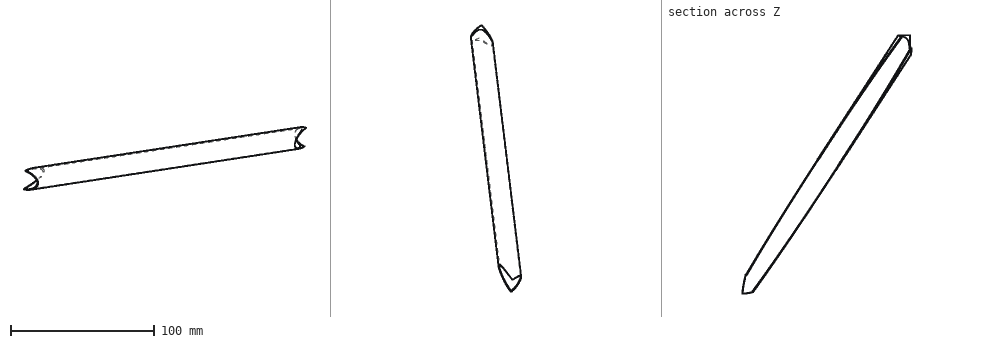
import cadquery as cq
import math

span_x = 117.6
span_y = 180.4
frame_tilt = 5.3

tube_diameter = 15.0
wall = 0.7
tube_radius = tube_diameter / 2

side_tube_angle = 84.5
node_tube_radius = 16.2
overrun = 27.0
mate_length = 144.3

tube_angle = math.degrees(math.atan2(span_y, span_x))
tube_length = math.hypot(span_x, span_y)


def rod(center, heading, length, radius):
    """Cylinder centred on a point of the frame plane, its axis lying in that plane."""
    bar = cq.Workplane("YZ").circle(radius).extrude(length).translate((-length / 2, 0, 0))
    return bar.rotate((0, 0, 0), (0, 0, 1), heading).translate(center)


near_end = (0, 0, 0)
far_end = (span_x, span_y, 0)
middle = (span_x / 2, span_y / 2, 0)

blank_length = tube_length + 2 * overrun
outside = rod(middle, tube_angle, blank_length, tube_radius)
bore = rod(middle, tube_angle, blank_length, tube_radius - wall)
tube = outside.cut(bore)

tube = tube.cut(rod(far_end, -tube_angle, mate_length, tube_radius))

axis_setback = math.sqrt(node_tube_radius**2 - tube_radius**2)
side_heading = math.radians(side_tube_angle)
side_center = (-axis_setback * math.sin(side_heading), axis_setback * math.cos(side_heading), 0)
cross_center = (0, -axis_setback, 0)
tube = tube.cut(rod(side_center, side_tube_angle, mate_length, node_tube_radius))
tube = tube.cut(rod(cross_center, 0, mate_length, node_tube_radius))

span = max(tube.solids().vals(), key=lambda piece: piece.Volume())
result = cq.Workplane(span).rotate((0, 0, 0), (0, 1, 0), frame_tilt)